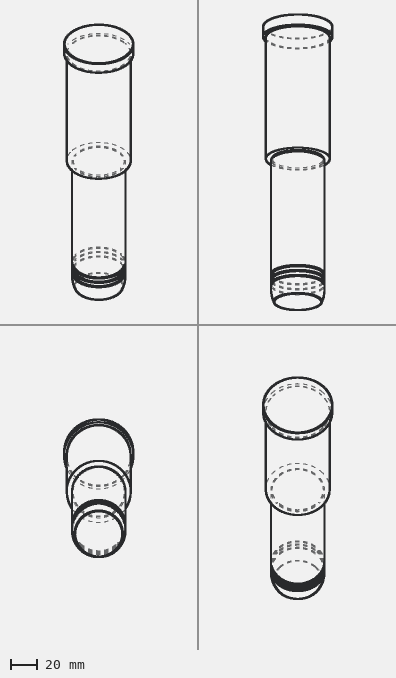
import cadquery as cq

total_length = 220.0
head_height = 8.4
body_bottom = 114.2
nose_height = 8.4

head_radius = 52.0 / 2
body_radius = 48.0 / 2
shank_radius = 40.0 / 2
tip_radius = 18.0

head_chamfer = 0.5
head_relief_width = 0.7
head_relief_depth = 0.2
shank_relief_width = 1.3
shank_relief_depth = 0.9
tip_chamfer = 0.5
nose_bulge = 0.5

groove_count = 3
groove_pitch = 4.0
groove_width = 1.0
groove_depth = 0.7
lowest_groove_center = 13.6


def cylinder(radius, bottom, top):
    return cq.Workplane("XY").workplane(offset=bottom).circle(radius).extrude(top - bottom)


def ring(outer_radius, depth, bottom, width):
    """Ring-shaped cutter that sinks a groove into a cylinder."""
    return cylinder(outer_radius, bottom, bottom + width).cut(
        cylinder(outer_radius - depth, bottom, bottom + width)
    )


def rounded_nose():
    """Tapered tip with a slightly convex flank and a broken bottom edge."""
    flank_middle = (
        (shank_radius + tip_radius) / 2 + nose_bulge,
        (nose_height + tip_chamfer) / 2,
    )
    return (
        cq.Workplane("XZ")
        .lineTo(tip_radius - tip_chamfer, 0)
        .lineTo(tip_radius, tip_chamfer)
        .threePointArc(flank_middle, (shank_radius, nose_height))
        .lineTo(0, nose_height)
        .close()
        .revolve(360, (0, 0, 0), (0, 1, 0))
    )


head_bottom = total_length - head_height
head = cylinder(head_radius, head_bottom, total_length).faces(">Z").chamfer(head_chamfer)
result = (
    rounded_nose()
    .union(cylinder(shank_radius, nose_height, body_bottom))
    .union(cylinder(body_radius, body_bottom, head_bottom))
    .union(head)
)

result = result.cut(
    ring(body_radius, head_relief_depth, head_bottom - head_relief_width, head_relief_width)
)
result = result.cut(
    ring(shank_radius, shank_relief_depth, body_bottom - shank_relief_width, shank_relief_width)
)

for index in range(groove_count):
    groove_center = lowest_groove_center + index * groove_pitch
    groove = (
        cq.Workplane("XZ")
        .moveTo(shank_radius, groove_center - groove_width / 2)
        .lineTo(shank_radius - groove_depth, groove_center)
        .lineTo(shank_radius, groove_center + groove_width / 2)
        .close()
        .revolve(360, (0, 0, 0), (0, 1, 0))
    )
    result = result.cut(groove)